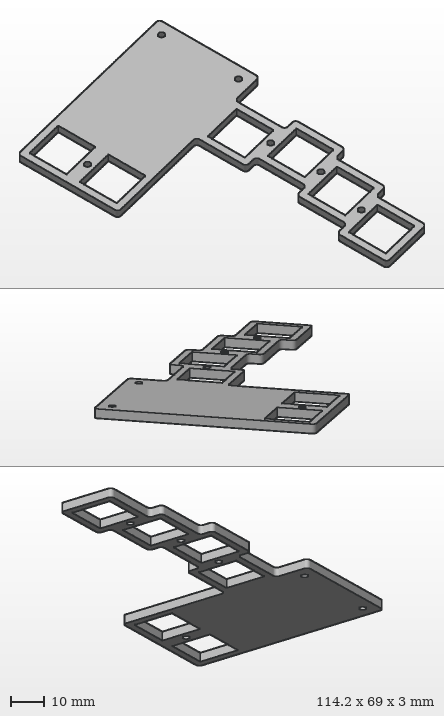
import cadquery as cq

overall_length = 114.2
column_count = 6
pitch = overall_length / column_count
key_wall = 2.5
key_opening = pitch - 2 * key_wall
stagger = pitch / 4

plate_thickness = 3.0
body_columns = 2
body_width = body_columns * pitch
body_height = 69.0
corner_radius = 1.3

screw_diameter = 2.2
screw_edge_distance = 4.5

thumb_keys = [((column + 0.5) * pitch, pitch / 2) for column in range(body_columns)]
arm_base_y = 2.5 * pitch
arm_steps = [0, 1, 0, -1]
finger_keys = [
    ((body_columns + index + 0.5) * pitch, arm_base_y + step * stagger)
    for index, step in enumerate(arm_steps)
]


def block(width, height, center_x, center_y):
    """Box of plate thickness standing on Z = 0."""
    return (
        cq.Workplane("XY")
        .center(center_x, center_y)
        .rect(width, height)
        .extrude(plate_thickness)
    )


def midpoints(keys):
    """Points halfway between each pair of neighbouring keys."""
    return [((x1 + x2) / 2, (y1 + y2) / 2) for (x1, y1), (x2, y2) in zip(keys, keys[1:])]


plate = block(body_width, body_height, body_width / 2, body_height / 2)
for x, y in finger_keys:
    plate = plate.union(block(pitch, pitch, x, y))
plate = plate.clean().edges("|Z").fillet(corner_radius)

for x, y in thumb_keys + finger_keys:
    plate = plate.cut(block(key_opening, key_opening, x, y))

top_screw_y = body_height - screw_edge_distance
top_screws = [
    (screw_edge_distance, top_screw_y),
    (body_width - screw_edge_distance, top_screw_y),
]
screw_points = top_screws + midpoints(thumb_keys) + midpoints(finger_keys)
screws = (
    cq.Workplane("XY")
    .pushPoints(screw_points)
    .circle(screw_diameter / 2)
    .extrude(plate_thickness)
)

result = plate.cut(screws)